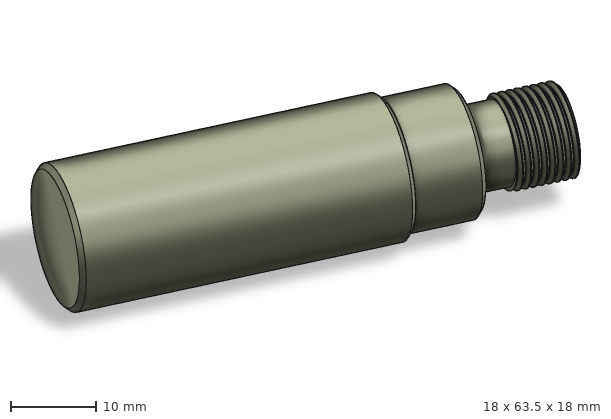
import cadquery as cq

length = 63.5
back_end = length / 2
front_end = -length / 2

body_radius = 18.0 / 2
edge_chamfer = 0.65

collar_radius = 16.4 / 2
neck_radius = 10.55 / 2
neck_fillet = 1.3
body_shoulder = back_end - 21.5
collar_shoulder = back_end - 12.5

thread_length = 7.95
eight_turn_advance = 8.0
thread_pitch = eight_turn_advance / 8
thread_root_radius = 10.8 / 2
thread_crest_radius = 11.8 / 2
crest_flat = 0.1
root_flat = 0.1
crest_offset = 0.25
root_overlap = 0.05
thread_start = back_end - thread_length

fuse_tolerance = 0.0001


def make_turned_body():
    """Revolve the stepped outline, without thread ridges, about Y."""
    return (
        cq.Workplane("XY")
        .moveTo(0, front_end)
        .lineTo(body_radius - edge_chamfer, front_end)
        .lineTo(body_radius, front_end + edge_chamfer)
        .lineTo(body_radius, body_shoulder - edge_chamfer)
        .lineTo(body_radius - edge_chamfer, body_shoulder)
        .lineTo(collar_radius, body_shoulder)
        .lineTo(collar_radius, collar_shoulder - edge_chamfer)
        .lineTo(collar_radius - edge_chamfer, collar_shoulder)
        .lineTo(neck_radius + neck_fillet, collar_shoulder)
        .radiusArc((neck_radius, collar_shoulder + neck_fillet), neck_fillet)
        .lineTo(neck_radius, thread_start)
        .lineTo(thread_root_radius, thread_start)
        .lineTo(thread_root_radius, back_end)
        .lineTo(0, back_end)
        .close()
        .revolve(360, (0, 0, 0), (0, 1, 0))
    )


def make_thread_ridge():
    """Sweep one tooth along a helix and trim it flat at both thread ends."""
    turns_below_first_crest = int(thread_length / thread_pitch) + 2
    turns = turns_below_first_crest + 1
    helix_start = back_end - crest_offset - turns_below_first_crest * thread_pitch
    helix = cq.Wire.makeHelix(thread_pitch, turns * thread_pitch, thread_root_radius)

    half_crest = crest_flat / 2
    half_base = (thread_pitch - root_flat) / 2
    base_radius = thread_root_radius - root_overlap
    tooth = cq.Workplane("XZ").polyline([
        (base_radius, -half_base),
        (thread_root_radius, -half_base),
        (thread_crest_radius, -half_crest),
        (thread_crest_radius, half_crest),
        (thread_root_radius, half_base),
        (base_radius, half_base),
    ]).close()
    ridge = (
        tooth.sweep(cq.Workplane(helix), isFrenet=True)
        .rotate((0, 0, 0), (1, 0, 0), -90)
        .translate((0, helix_start, 0))
    )
    trim_width = 4 * thread_crest_radius
    trim = cq.Workplane("XY").box(trim_width, thread_length, trim_width).translate(
        (0, back_end - thread_length / 2, 0)
    )
    return ridge.intersect(trim)


result = make_turned_body().union(make_thread_ridge(), tol=fuse_tolerance)